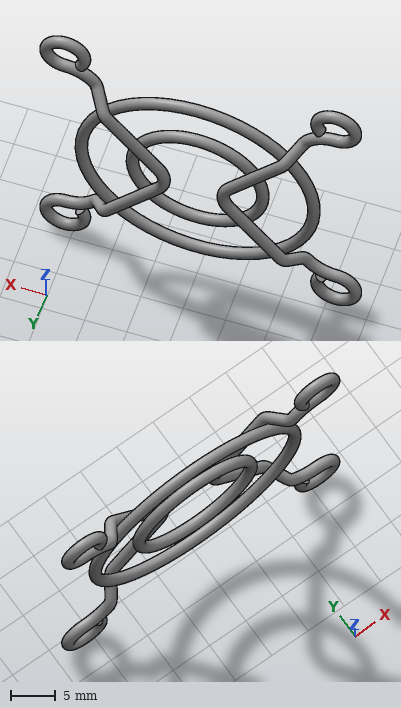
import cadquery as cq
import math

overall_size = 38.0
wire_diameter = 1.4
wire_radius = wire_diameter / 2

outer_ring_radius = 13.75
inner_ring_radius = 7.7

depth = 3.9
leg_y = wire_diameter
hook_y = leg_y - (depth - wire_diameter)

hook_radius = 2.28
hook_center = overall_size / 2 - wire_radius - hook_radius
hook_sweep = 307.0
shoulder_radius = 4.3
elbow_radius = 3.05
elbow_x = 3.5

jog_radius = 1.52
jog_angle = math.radians(43.0)

elbow_center_x = elbow_x + elbow_radius
shoulder_center_z = hook_center - hook_radius - shoulder_radius
centers_dx = hook_center - elbow_center_x
centers_distance = math.hypot(centers_dx, shoulder_center_z)
leg_slope = math.atan2(shoulder_center_z, centers_dx) + math.asin(
    (shoulder_radius - elbow_radius) / centers_distance
)

jog_arc_length = jog_radius * math.sin(jog_angle)
jog_arc_rise = jog_radius * (1 - math.cos(jog_angle))
jog_straight_rise = leg_y - hook_y - 2 * jog_arc_rise
jog_length = 2 * jog_arc_length + jog_straight_rise / math.tan(jog_angle)


def make_ring(radius):
    """A closed round wire about the Y axis."""
    return cq.Solid.makeTorus(radius, wire_radius, cq.Vector(0, 0, 0), cq.Vector(0, 1, 0))


def arc_point(center_x, center_z, radius, angle, y):
    """Point on a circle parallel to the XZ plane; the angle is measured from +X toward +Z."""
    return cq.Vector(center_x + radius * math.cos(angle), y, center_z + radius * math.sin(angle))


def half_strand_edges():
    """Centerline of the upper right half strand, from the elbow's middle to the hook's tip."""
    normal_angle = leg_slope + math.pi / 2
    elbow_middle = cq.Vector(elbow_x, leg_y, 0)
    elbow_mid_angle = (math.pi + normal_angle) / 2
    elbow_mid_arc = arc_point(elbow_center_x, 0, elbow_radius, elbow_mid_angle, leg_y)
    elbow_end = arc_point(elbow_center_x, 0, elbow_radius, normal_angle, leg_y)

    shoulder_start = arc_point(hook_center, shoulder_center_z, shoulder_radius, normal_angle, hook_y)
    shoulder_mid_angle = (normal_angle + math.pi / 2) / 2
    shoulder_mid = arc_point(hook_center, shoulder_center_z, shoulder_radius, shoulder_mid_angle, hook_y)
    hook_start = cq.Vector(hook_center, hook_y, hook_center - hook_radius)

    outward = cq.Vector(math.cos(leg_slope), 0, math.sin(leg_slope))

    def jog_point(distance, y):
        point = shoulder_start - outward * distance
        return cq.Vector(point.x, y, point.z)

    half_arc_length = jog_radius * math.sin(jog_angle / 2)
    half_arc_rise = jog_radius * (1 - math.cos(jog_angle / 2))
    jog_start = jog_point(jog_length, leg_y)
    back_arc_mid = jog_point(jog_length - half_arc_length, leg_y - half_arc_rise)
    back_arc_end = jog_point(jog_length - jog_arc_length, leg_y - jog_arc_rise)
    front_arc_start = jog_point(jog_arc_length, hook_y + jog_arc_rise)
    front_arc_mid = jog_point(half_arc_length, hook_y + half_arc_rise)

    hook_start_angle = -math.pi / 2
    hook_turn = math.radians(hook_sweep)
    hook_mid = arc_point(hook_center, hook_center, hook_radius, hook_start_angle + hook_turn / 2, hook_y)
    hook_tip = arc_point(hook_center, hook_center, hook_radius, hook_start_angle + hook_turn, hook_y)

    return [
        cq.Edge.makeThreePointArc(elbow_middle, elbow_mid_arc, elbow_end),
        cq.Edge.makeLine(elbow_end, jog_start),
        cq.Edge.makeThreePointArc(jog_start, back_arc_mid, back_arc_end),
        cq.Edge.makeLine(back_arc_end, front_arc_start),
        cq.Edge.makeThreePointArc(front_arc_start, front_arc_mid, shoulder_start),
        cq.Edge.makeThreePointArc(shoulder_start, shoulder_mid, hook_start),
        cq.Edge.makeThreePointArc(hook_start, hook_mid, hook_tip),
    ]


def make_right_strand():
    """A full strand: the upper half swept from its elbow, joined to its mirror image below."""
    path = cq.Wire.assembleEdges(half_strand_edges())
    section = cq.Workplane("XY", origin=(elbow_x, leg_y, 0)).circle(wire_radius)
    upper_half = section.sweep(cq.Workplane(obj=path))
    return upper_half.union(upper_half.mirror("XY")).clean()


outer_ring = make_ring(outer_ring_radius)
inner_ring = make_ring(inner_ring_radius)
right_strand = make_right_strand()
left_strand = right_strand.mirror("YZ")

result = cq.Compound.makeCompound([outer_ring, inner_ring, right_strand.val(), left_strand.val()])